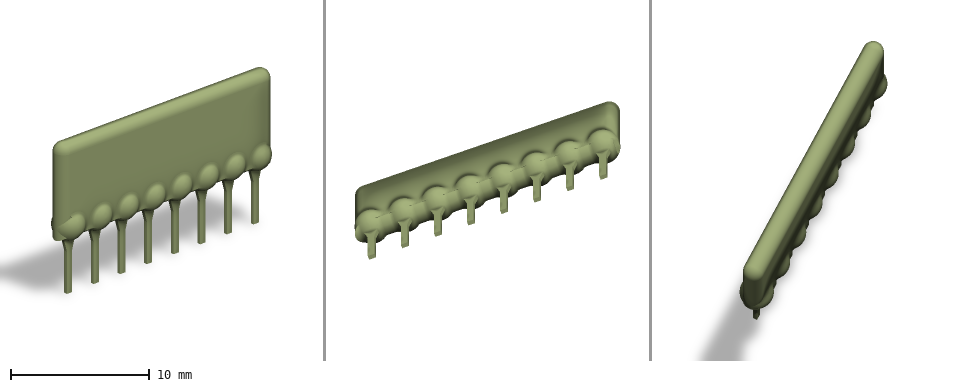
import cadquery as cq
import math


body_length = 20.27
body_thickness = 1.55
body_top = 6.7
underside_radius = 0.97
corner_bevel = 0.47

ball_count = 8
ball_radius = 1.24
blend_radius = 0.5

lead_thickness = 0.3
lead_width = 0.5
shoulder_width = 1.1
shoulder_z = -1.01
neck_z = -2.09
lead_bottom = -5.47

half_thickness = body_thickness / 2
cap_center_y = body_length / 2 - half_thickness
end_ball_y = body_length / 2 - ball_radius
pitch = 2 * end_ball_y / (ball_count - 1)
ball_centers = [i * pitch - end_ball_y for i in range(ball_count)]
edge_z = -math.sqrt(underside_radius**2 - half_thickness**2)
reach = 2 * ball_radius


def make_plan(bottom, top):
    """Slab outline seen from above, with full-round ends, between two heights."""
    return (
        cq.Workplane("XY")
        .workplane(offset=bottom)
        .slot2D(body_length, body_thickness, 90)
        .extrude(top - bottom)
    )


def make_body():
    """Slab with rounded ends and top, a round underside and one bevelled lower corner."""
    round_z = body_top - half_thickness
    slab = make_plan(-underside_radius, round_z)
    ridge = (
        cq.Workplane("XZ", origin=(0, cap_center_y, round_z))
        .moveTo(-half_thickness, 0)
        .threePointArc((0, half_thickness), (half_thickness, 0))
        .close()
        .extrude(2 * cap_center_y)
    )
    slab = slab.union(ridge)
    for y in (-cap_center_y, cap_center_y):
        slab = slab.union(cq.Workplane("XY").sphere(half_thickness).translate((0, y, round_z)))
    underside_profile = (
        cq.Workplane("XZ", origin=(0, body_length, 0))
        .moveTo(-underside_radius, body_top)
        .lineTo(-underside_radius, 0)
        .threePointArc((0, -underside_radius), (underside_radius, 0))
        .lineTo(underside_radius, body_top)
        .close()
        .extrude(2 * body_length)
    )
    end_y = body_length / 2
    corner = (
        cq.Workplane("YZ")
        .moveTo(end_y, corner_bevel - underside_radius)
        .lineTo(end_y, -underside_radius)
        .lineTo(end_y - corner_bevel, -underside_radius)
        .close()
        .extrude(body_thickness, both=True)
    )
    return slab.intersect(underside_profile).cut(corner)


def blend_outline(height):
    """Fillet section between a ball at the origin and a surface at the given height.

    Returns (offset, height) pairs: the fillet's start on the surface, its middle
    and its end on the ball, then two points buried in the body.
    """
    center_distance = ball_radius + blend_radius
    center_height = height + blend_radius
    center_offset = math.sqrt(center_distance**2 - center_height**2)
    ball_angle = math.atan2(-center_height, -center_offset)
    middle_angle = (ball_angle - math.pi / 2) / 2

    def on_fillet(angle):
        return (
            center_offset + blend_radius * math.cos(angle),
            center_height + blend_radius * math.sin(angle),
        )

    start = (center_offset, height)
    end = on_fillet(ball_angle)
    buried_height = height / 2
    return start, on_fillet(middle_angle), end, (end[0] / 2, buried_height), (start[0], buried_height)


def revolve_blend(workplane, points):
    """Ring swept by a fillet section around the first axis of the workplane."""
    start, middle, end, buried_inner, buried_outer = points
    return (
        cq.Workplane(workplane)
        .moveTo(*start)
        .threePointArc(middle, end)
        .lineTo(*buried_inner)
        .lineTo(*buried_outer)
        .close()
        .revolve(360, (0, 0), (1, 0))
    )


def make_sector(z_far):
    """Part of the space around the Y axis above or below the slab's lower edges."""
    edge_scale = reach / half_thickness
    return (
        cq.Workplane("XZ")
        .moveTo(0, 0)
        .lineTo(reach, edge_z * edge_scale)
        .lineTo(reach, z_far)
        .lineTo(-reach, z_far)
        .lineTo(-reach, edge_z * edge_scale)
        .close()
        .extrude(reach, both=True)
    )


def make_side_blend():
    """Fillet rings between a ball and the two flat faces of the slab."""
    outline = blend_outline(half_thickness)
    ring = revolve_blend("XZ", [(h, offset) for offset, h in outline])
    return ring.union(ring.mirror("YZ")).intersect(make_sector(reach))


def make_underside_blend():
    """Fillet rings between a ball and the round underside of the slab."""
    outline = blend_outline(underside_radius)
    ring = revolve_blend("XY", [(offset, h) for offset, h in outline])
    ring = ring.rotate((0, 0, 0), (0, 0, 1), 90)
    return ring.union(ring.mirror("XZ")).intersect(make_sector(-reach))


def make_end_clip(side):
    """Keeps the side blend of an end ball up to a radial cut where the end cap begins."""
    blend_reach = blend_outline(half_thickness)[0][0]
    cap_offset = cap_center_y - end_ball_y
    cut_y = reach * cap_offset / blend_reach
    cut_z = reach * math.sqrt(1 - (cap_offset / blend_reach) ** 2)
    return (
        cq.Workplane("YZ")
        .moveTo(0, -reach)
        .lineTo(0, 0)
        .lineTo(side * cut_y, cut_z)
        .lineTo(-side * reach, cut_z)
        .lineTo(-side * reach, -reach)
        .close()
        .extrude(reach, both=True)
    )


def make_lead():
    """Flat lead that widens into a shoulder inside its ball."""
    half = lead_width / 2
    half_shoulder = shoulder_width / 2
    return (
        cq.Workplane("YZ")
        .moveTo(-half, lead_bottom)
        .lineTo(half, lead_bottom)
        .lineTo(half, neck_z)
        .lineTo(half_shoulder, shoulder_z)
        .lineTo(-half_shoulder, shoulder_z)
        .lineTo(-half, neck_z)
        .close()
        .extrude(lead_thickness / 2, both=True)
    )


ball = cq.Workplane("XY").sphere(ball_radius)
lead = make_lead()
side_blend = make_side_blend()
underside_blend = make_underside_blend()
plan = make_plan(-reach, body_top)

result = make_body()
for center_y in ball_centers:
    place = (0, center_y, 0)
    sides = side_blend
    if center_y in (ball_centers[0], ball_centers[-1]):
        sides = sides.intersect(make_end_clip(math.copysign(1, center_y)))
    underside = underside_blend.translate(place).intersect(plan)
    result = (
        result.union(sides.translate(place))
        .union(underside)
        .union(ball.translate(place))
        .union(lead.translate(place))
    )